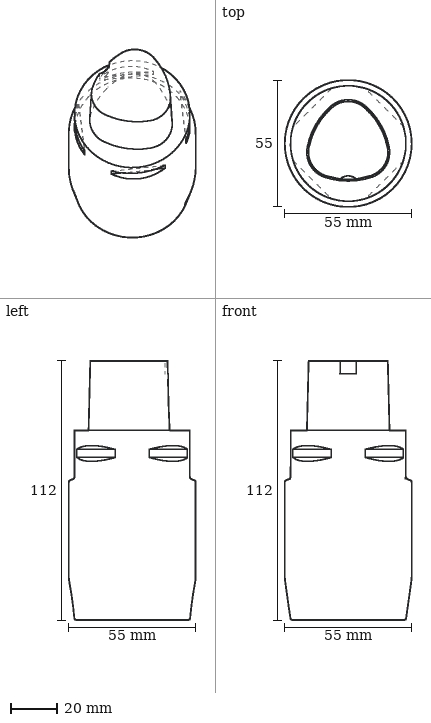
import cadquery as cq
import math

total_height = 112.0
shank_height = 30.0
collar_height = 20.0
collar_top = total_height - shank_height
collar_bottom = collar_top - collar_height

body_radius = 55.0 / 2
collar_radius = 50.0 / 2
shoulder_height = 2.5
shoulder_slope = 20.0
shoulder_blend_radius = 1.1
nose_start = 17.9
nose_angle = 8.0
nose_end_radius = body_radius - nose_start * math.tan(math.radians(nose_angle))
nose_blend_radius = 19.0
nose_edge_fillet = 0.9
edge_search_margin = 0.1

lobe_reach = 18.9
lobe_radius = 11.4
flank_reach = 16.2
shank_taper = math.degrees(math.atan(1 / 40))

notch_depth = 5.5
notch_radius = 5.2
notch_inner_reach = 14.0

groove_count = 4
groove_first_angle = 45.0
groove_drop = 10.0
groove_floor_width = 3.5
groove_floor_reach = 22.1
groove_wall_angle = 30.0


def polar_point(radius, angle):
    """Return the XY point at a radius and an angle in degrees."""
    return (radius * math.cos(math.radians(angle)), radius * math.sin(math.radians(angle)))


def edges_between(bottom, top):
    """Select the edges of the turned body centred between two levels."""
    return cq.selectors.BoxSelector(
        (-body_radius, -body_radius, bottom), (body_radius, body_radius, top)
    )


def turned_body():
    """Revolve the body, its sloped and rounded shoulder and its conical nose."""
    slope_drop = (body_radius - collar_radius) * math.tan(math.radians(shoulder_slope))
    slope_top = collar_bottom - (shoulder_height - slope_drop) / 2
    slope_bottom = slope_top - slope_drop
    profile = (
        cq.Workplane("XZ")
        .lineTo(nose_end_radius, 0)
        .lineTo(body_radius, nose_start)
        .lineTo(body_radius, slope_bottom)
        .lineTo(collar_radius, slope_top)
        .lineTo(collar_radius, collar_top)
        .lineTo(0, collar_top)
        .close()
    )
    body = profile.revolve(360, (0, 0, 0), (0, 1, 0))
    nose_edges = edges_between(nose_start - edge_search_margin, nose_start + edge_search_margin)
    body = body.edges("%CIRCLE").edges(nose_edges).fillet(nose_blend_radius)
    shoulder_edges = edges_between(slope_bottom - edge_search_margin, slope_top + edge_search_margin)
    body = body.edges("%CIRCLE").edges(shoulder_edges).fillet(shoulder_blend_radius)
    return body.faces("<Z").edges().fillet(nose_edge_fillet)


def polygon_shank():
    """Extrude three lobe arcs and three flatter flank arcs, all tangent."""
    lobe_offset = lobe_reach - lobe_radius
    reach_gap = flank_reach - lobe_radius
    flank_offset = (lobe_offset**2 - reach_gap**2) / (2 * reach_gap - lobe_offset)
    flank_radius = flank_reach + flank_offset

    lobe_x, lobe_y = polar_point(lobe_offset, 60)
    seam_direction = math.degrees(math.atan2(lobe_y, lobe_x + flank_offset))
    seam_x, seam_y = polar_point(flank_radius, seam_direction)
    seam_x -= flank_offset
    seam_radius = math.hypot(seam_x, seam_y)
    seam_angle = math.degrees(math.atan2(seam_y, seam_x))

    first_flank = -90
    outline = cq.Workplane("XY", origin=(0, 0, collar_top))
    outline = outline.moveTo(*polar_point(seam_radius, first_flank - seam_angle))
    for flank in (first_flank, first_flank + 120, first_flank + 240):
        outline = outline.threePointArc(
            polar_point(flank_reach, flank), polar_point(seam_radius, flank + seam_angle)
        ).threePointArc(
            polar_point(lobe_reach, flank + 60),
            polar_point(seam_radius, flank + 120 - seam_angle),
        )
    return outline.close().extrude(shank_height, taper=shank_taper)


def orientation_notch():
    """Round cutter for the notch on the -Y flank of the shank."""
    return (
        cq.Workplane("XY", origin=(0, 0, total_height - notch_depth))
        .center(0, -(notch_inner_reach + notch_radius))
        .circle(notch_radius)
        .extrude(notch_depth)
    )


def gripper_groove(angle):
    """Straight trapezoidal cutter, flaring outward from a flat floor."""
    depth = body_radius - groove_floor_reach
    floor_half = groove_floor_width / 2
    mouth_half = floor_half + depth * math.tan(math.radians(groove_wall_angle))
    return (
        cq.Workplane("XZ", origin=(0, 0, collar_top - groove_drop))
        .polyline([
            (groove_floor_reach, -floor_half),
            (body_radius, -mouth_half),
            (body_radius, mouth_half),
            (groove_floor_reach, floor_half),
        ])
        .close()
        .extrude(body_radius, both=True)
        .rotate((0, 0, 0), (0, 0, 1), angle)
    )


result = turned_body().union(polygon_shank()).cut(orientation_notch())
for index in range(groove_count):
    result = result.cut(gripper_groove(groove_first_angle + index * 360 / groove_count))